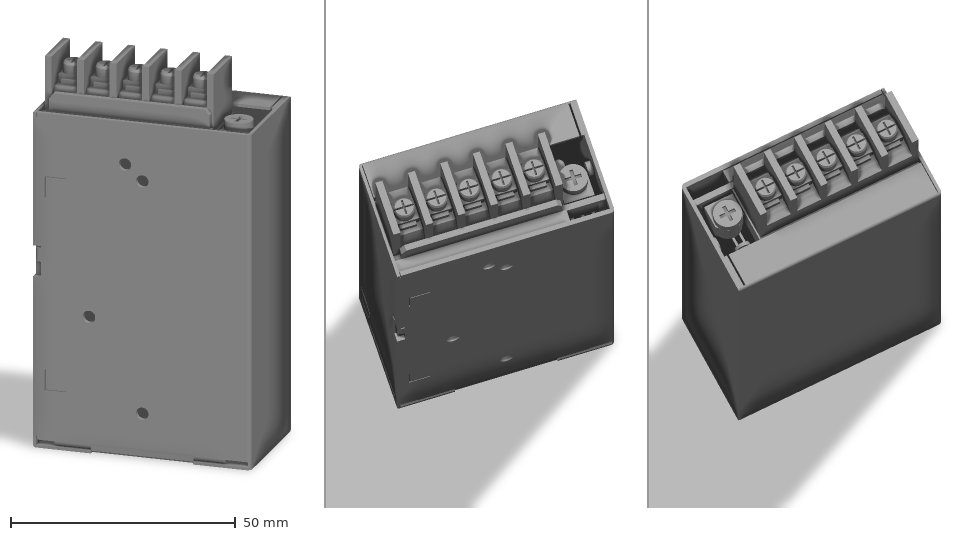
import cadquery as cq


CASE_X, CASE_Y, CASE_Z = 51.0, 28.5, 79.0
LEFT_WALL, RIGHT_WALL, FRONT_WALL, BACK_WALL = 0.7, 0.9, 1.1, 0.6
FLOOR = 0.6
RIGHT_INNER = CASE_X - RIGHT_WALL
RIGHT_BEND, BACK_BEND = 1.1, 0.9
LID_FRONT = 19.7
MARK = 0.1

BOARD_Y, BOARD_BACK = 4.1, 5.5
BOARD_BOTTOM, BOARD_TOP = 4.5, 77.65

WAYS, PITCH = 5, 7.6
BARRIER, BLOCK_X = 1.6, 0.9
BLOCK_BACK, BLOCK_TOP, BLOCK_BOTTOM = 18.6, 90.5, 71.5
BLOCK_WIDTH = WAYS * PITCH + BARRIER
SEAT_Z = 83.1
SCREW_Y = 12.1
INSULATOR_END = 40.9


def box(x0, x1, y0, y1, z0, z1):
    """Box between two opposite corners."""
    return cq.Workplane("XY").box(x1 - x0, y1 - y0, z1 - z0, centered=False).translate((x0, y0, z0))


def rod_along_y(x, z, radius, y0, y1):
    """Round bar parallel to Y."""
    return cq.Workplane("XZ", origin=(x, y0, z)).circle(radius).extrude(y0 - y1)


def case_shell():
    """Open-topped case with rounded bends."""
    shell = box(0, CASE_X, 0, CASE_Y, 0, CASE_Z)
    shell = shell.edges("|Z and >X and <Y").fillet(RIGHT_BEND)
    shell = shell.edges("|Z and <X and >Y").fillet(BACK_BEND)
    shell = shell.edges("|Y and <X and <Z").fillet(FLOOR)
    rounded_top = box(0, CASE_X, 0, CASE_Y, 0, CASE_Z).edges("|X and >Y and >Z").fillet(BACK_WALL)
    shell = shell.intersect(rounded_top)
    inside = box(LEFT_WALL, RIGHT_INNER, FRONT_WALL, CASE_Y - BACK_WALL, FLOOR, CASE_Z)
    return shell.cut(inside)


def lid():
    """Folded strip over the rear of the top, with narrow seams at the left and right walls."""
    right, thickness, left_seam, right_seam = 49.05, 0.7, 0.2, 0.45
    bottom = CASE_Z - thickness
    back = CASE_Y - BACK_WALL
    strip = box(LEFT_WALL + left_seam, right, LID_FRONT, back, bottom, CASE_Z)
    lip = box(right + right_seam, RIGHT_INNER, LID_FRONT, back, bottom, CASE_Z)
    return strip.union(lip)


def shape_bottom_edge(case):
    """Slots along the foot of the front panel, the bend inside them and the middle tongue."""
    tongue_x0, tongue_x1, tongue_top = 13.6, 37.6, 2.3
    bend_x0, bend_x1, slot_top = 5.0, 45.1, 1.9
    slot_x0, slot_x1 = LEFT_WALL, 50.4
    bend = slot_top - FLOOR

    case = case.cut(box(slot_x0, slot_x1, 0, FRONT_WALL, FLOOR, slot_top))
    curl = (
        cq.Workplane("YZ", origin=(bend_x0, 0, 0))
        .moveTo(0, slot_top)
        .radiusArc((bend, FLOOR), -bend)
        .lineTo(bend, slot_top)
        .close()
        .extrude(bend_x1 - bend_x0)
    )
    case = case.union(curl)
    case = case.union(box(tongue_x0, tongue_x1, 0, FRONT_WALL, FLOOR, slot_top))
    case = case.cut(box(tongue_x0, tongue_x1, 0, MARK, FLOOR, tongue_top))
    return case.cut(box(tongue_x0, tongue_x1, 0, FRONT_WALL, 0, FLOOR))


def cut_front_panel(case):
    """Holes, corner marks and corner relief slits of the front panel."""
    hole_radius = 1.45
    for x, z in [(21.5, 69.0), (25.6, 65.4), (13.1, 32.1), (25.6, 10.7)]:
        case = case.cut(rod_along_y(x, z, hole_radius, 0, FRONT_WALL))

    mark_x, arm, line, depth = 2.7, 5.0, 0.3, 0.4
    for z, inward in [(64.2, -1), (13.7, 1)]:
        z_low, z_high = sorted((z, z + inward * arm))
        case = case.cut(box(mark_x, mark_x + line, 0, depth, z_low, z_high))
        z_low, z_high = sorted((z, z + inward * line))
        case = case.cut(box(mark_x, mark_x + arm, 0, depth, z_low, z_high))

    slit, slit_length = 0.2, 1.1
    for z in (CASE_Z - slit_length, slit_length + FLOOR):
        case = case.cut(box(LEFT_WALL, LEFT_WALL + slit, 0, FRONT_WALL, z, z + slit_length))
    return case


def cut_corner_latch(case):
    """Notch in the left front edge with a rounded latch in its upper half."""
    width, depth, bottom, top = 1.9, 2.1, 40.4, 47.6
    latch_bottom, latch_top, setback, radius = 43.9, 47.1, 0.45, 0.9
    case = case.cut(box(0, width, 0, depth, bottom, top))
    backing = box(setback, width, FRONT_WALL, depth, bottom, top)
    latch = box(setback, width, 0, depth, latch_bottom, latch_top)
    latch = latch.edges("|Z and <X and <Y").fillet(radius)
    return case.union(backing).union(latch)


def cut_left_panel(case):
    """Shallow label recess and hexagonal mark on the left wall."""
    back, front, top, bottom = 26.4, 1.7, 77.1, 3.1
    notch_y, notch_low, notch_high, notch_slant = 3.4, 39.0, 47.7, 1.2
    step_y, step_low, step_high, slant = 19.9, 9.0, 10.3, 2.7
    corner = 0.7
    recess = (
        cq.Workplane("YZ")
        .moveTo(front, top)
        .lineTo(front, notch_high + notch_slant)
        .lineTo(notch_y, notch_high)
        .lineTo(notch_y, notch_low)
        .lineTo(front, notch_low)
        .lineTo(front, bottom)
        .lineTo(step_y, bottom)
        .lineTo(step_y, step_low)
        .lineTo(step_y + slant, step_high)
        .lineTo(back, step_high)
        .lineTo(back, top)
        .close()
        .extrude(MARK)
        .edges("|X")
        .fillet(corner)
    )
    hexagon_y, hexagon_z, hexagon_across = 23.0, 7.15, 6.0
    hexagon = (
        cq.Workplane("YZ")
        .polygon(6, hexagon_across)
        .extrude(MARK)
        .rotate((0, 0, 0), (1, 0, 0), 30)
        .translate((0, hexagon_y, hexagon_z))
    )
    return case.cut(recess).cut(hexagon)


def board_and_base():
    """Upright circuit board with the insulating strip in front and the terminal base behind."""
    strip_top, strip_bottom, base_top = 78.3, 70.6, 76.9
    board = box(LEFT_WALL, RIGHT_INNER, BOARD_Y, BOARD_BACK, BOARD_BOTTOM, BOARD_TOP)
    base = box(BLOCK_X, INSULATOR_END, BOARD_BACK, LID_FRONT, BLOCK_BOTTOM, base_top)
    strip = box(LEFT_WALL, INSULATOR_END, FRONT_WALL, BOARD_Y, strip_bottom, strip_top)
    return board.union(base).union(strip)


def terminal_body():
    """Block with sloped seats between upright barriers and a front ledge."""
    slope_y, slope_foot, rear_y, rear_foot = 7.7, 77.8, 16.7, 82.4
    body = (
        cq.Workplane("YZ", origin=(BLOCK_X, 0, 0))
        .moveTo(BOARD_BACK, BLOCK_BOTTOM)
        .lineTo(BOARD_BACK, slope_foot)
        .lineTo(slope_y, SEAT_Z)
        .lineTo(rear_y, SEAT_Z)
        .lineTo(BLOCK_BACK, rear_foot)
        .lineTo(BLOCK_BACK, BLOCK_BOTTOM)
        .close()
        .extrude(BLOCK_WIDTH)
    )
    for i in range(WAYS + 1):
        x = BLOCK_X + i * PITCH
        body = body.union(box(x, x + BARRIER, BOARD_BACK, BLOCK_BACK, BLOCK_BOTTOM, BLOCK_TOP))

    ledge_x0, ledge_x1, ledge_top, chamfer_x, chamfer_z = 2.35, 40.0, 82.45, 1.1, 1.3
    ledge = (
        cq.Workplane("XZ", origin=(0, BOARD_BACK, 0))
        .moveTo(ledge_x0, BLOCK_BOTTOM)
        .lineTo(ledge_x0, ledge_top - chamfer_z)
        .lineTo(ledge_x0 + chamfer_x, ledge_top)
        .lineTo(ledge_x1 - chamfer_x, ledge_top)
        .lineTo(ledge_x1, ledge_top - chamfer_z)
        .lineTo(ledge_x1, BLOCK_BOTTOM)
        .close()
        .extrude(BOARD_BACK - BOARD_Y)
    )
    return body.union(ledge)


def terminal_screw():
    """Contact plate, square washer and cross-slotted screw, centred on the Z axis."""
    plate_x, plate_y, plate_top = 3.8, 6.8, 84.3
    washer_x, washer_y, washer_top = 5.6, 5.0, 85.2
    head_radius, head_top, head_round = 2.35, 87.9, 0.5
    slot, slot_depth, slot_length = 0.45, 1.1, 3.4

    def layer(size_x, size_y, top):
        return cq.Workplane("XY", origin=(0, 0, SEAT_Z)).rect(size_x, size_y).extrude(top - SEAT_Z)

    head = cq.Workplane("XY", origin=(0, 0, washer_top)).circle(head_radius).extrude(head_top - washer_top)
    head = head.faces(">Z").edges().chamfer(head_round, head_round / 2)
    slot_x = cq.Workplane("XY", origin=(0, 0, head_top)).rect(2 * head_radius, slot).extrude(-slot_depth)
    slot_y = cq.Workplane("XY", origin=(0, 0, head_top)).rect(slot, slot_length).extrude(-slot_depth)
    head = head.cut(slot_x).cut(slot_y)
    return layer(plate_x, plate_y, plate_top).union(layer(washer_x, washer_y, washer_top)).union(head)


def trimmer():
    """Adjusting potentiometer on the board, with its three solder pins."""
    x, y, radius = 44.7, 10.8, 3.3
    body_width, body_front, body_back, corner = 7.1, 6.2, 13.85, 2.2
    body_bottom, body_top, knob_top = 71.5, 76.5, 78.7
    body = box(x - body_width / 2, x + body_width / 2, body_front, body_back, body_bottom, body_top)
    body = body.edges("|Z and >Y").chamfer(corner)
    knob = cq.Workplane("XY", origin=(x, y, body_bottom)).circle(radius).extrude(knob_top - body_bottom)
    slot, slot_length, slot_depth = 0.8, 3.8, 0.7
    for size in [(slot, slot_length), (slot_length, slot)]:
        knob = knob.cut(cq.Workplane("XY", origin=(x, y, knob_top)).rect(*size).extrude(-slot_depth))
    body = body.union(knob)

    pin, pin_pitch, pin_tip = 0.7, 2.4, 2.8
    for i in (-1, 0, 1):
        left = x + i * pin_pitch - pin / 2
        body = body.union(box(left, left + pin, pin_tip, y, body_bottom, body_bottom + pin))
    return body


def indicator_lamp():
    """Round lamp lying along Y on two leads that reach the board."""
    x, z = 43.6, 68.8
    flange_radius, flange_front, flange_back = 1.8, 15.6, 16.5
    bulb_radius, bulb_back, dome = 1.45, 19.6, 1.4
    lead, lead_spacing = 0.5, 1.8
    lamp = rod_along_y(x, z, flange_radius, flange_front, flange_back)
    bulb = rod_along_y(x, z, bulb_radius, flange_back, bulb_back).faces(">Y").edges().fillet(dome)
    lamp = lamp.union(bulb)
    for side in (-1, 1):
        left = x + side * lead_spacing / 2 - lead / 2
        lamp = lamp.union(box(left, left + lead, BOARD_BACK, flange_front, z - lead / 2, z + lead / 2))
    return lamp


def right_wall_fittings():
    """Rivet head and the two guide clips that hold the board, inside the right wall."""
    rivet_x, rivet_y, rivet_z, rivet_radius = 48.9, 14.1, 72.4, 1.7
    fittings = (
        cq.Workplane("YZ", origin=(rivet_x, rivet_y, rivet_z))
        .circle(rivet_radius)
        .extrude(RIGHT_INNER - rivet_x)
    )
    clip_x, clip_foot, clip_top, clip_reach = 48.4, 63.35, 76.0, 2.1
    for y, away in [(BOARD_Y, -1), (BOARD_BACK, 1)]:
        clip = (
            cq.Workplane("YZ", origin=(clip_x, 0, 0))
            .moveTo(y, clip_foot)
            .lineTo(y + away * clip_reach, clip_foot)
            .lineTo(y, clip_top)
            .close()
            .extrude(RIGHT_INNER - clip_x)
        )
        fittings = fittings.union(clip)
    return fittings


case = case_shell().union(lid())
case = shape_bottom_edge(case)
case = cut_front_panel(case)
case = cut_left_panel(case)
case = cut_corner_latch(case)

result = case.union(board_and_base()).union(terminal_body())
for way in range(WAYS):
    screw_x = BLOCK_X + BARRIER / 2 + (way + 0.5) * PITCH
    result = result.union(terminal_screw().translate((screw_x, SCREW_Y, 0)))
for fitting in (trimmer(), indicator_lamp(), right_wall_fittings()):
    result = result.union(fitting)